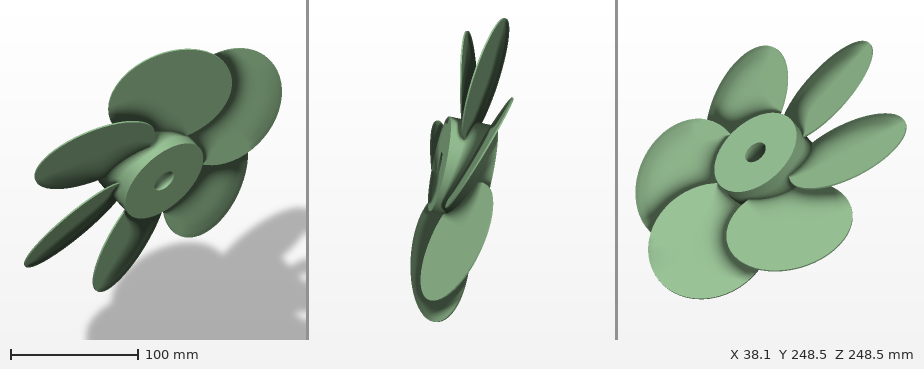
import cadquery as cq

hub_length = 38.1
hub_diameter = 76.2
bore_diameter = 19.05

blade_count = 6
blade_diameter = 101.6
blade_thickness = 1.27
blade_pitch = 20.0
blade_center_radius = 76.2
first_blade_angle = 15.0
hub_middle = hub_length / 2


def make_hub():
    """Bored hub with its back face on the YZ plane."""
    return (
        cq.Workplane("YZ")
        .circle(hub_diameter / 2)
        .circle(bore_diameter / 2)
        .extrude(hub_length)
    )


def make_blade(angle):
    """Disc blade whose radial line lies at the given angle from +Z towards +Y."""
    disc = (
        cq.Workplane("YZ")
        .center(0, blade_center_radius)
        .circle(blade_diameter / 2)
        .extrude(blade_thickness / 2, both=True)
    )
    pitched = disc.rotate((0, 0, 0), (0, 0, 1), -blade_pitch)
    turned = pitched.rotate((0, 0, 0), (1, 0, 0), -angle)
    return turned.translate((hub_middle, 0, 0))


result = make_hub()
for index in range(blade_count):
    result = result.union(make_blade(first_blade_angle + index * 360 / blade_count))